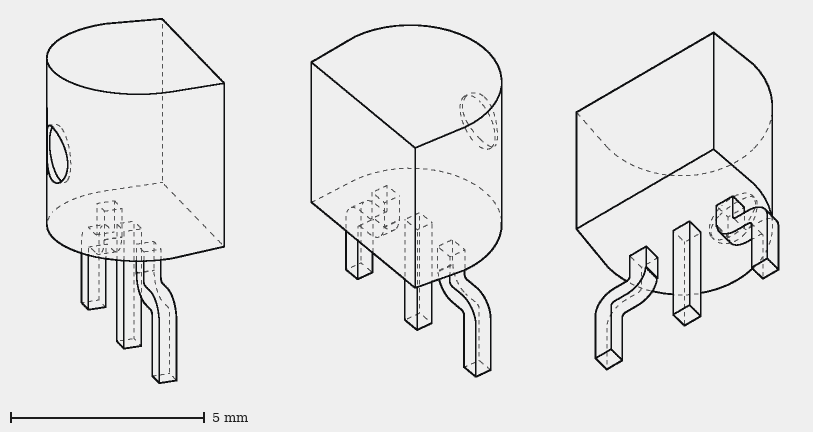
import cadquery as cq
import math

BODY_RADIUS = 2.36
BODY_HEIGHT = 4.7
BACK_DEPTH = 1.52
BACK_WIDTH = 4.46
BACK_DRAFT_HEIGHT = 0.05

DIMPLE_DIAMETER = 1.5
DIMPLE_DEPTH = 0.2

TOTAL_HEIGHT = 8.0
LEAD_BACK_Y = -0.02
LEAD_DEPTH = 0.48
STRAIGHT_WIDTH = 0.54
FORMED_WIDTH = 0.51
OUTER_SPAN = 5.59
BEND_INNER_RADIUS = 0.11
UPPER_BEND_Z = -0.81
OFFSET_RUN = 0.38
OUTER_LEAD_LENGTH = 3.25

centre_lead_length = TOTAL_HEIGHT - BODY_HEIGHT
bend_outer_radius = BEND_INNER_RADIUS + FORMED_WIDTH
lower_bend_x = OUTER_SPAN / 2 - bend_outer_radius
upper_bend_x = lower_bend_x - OFFSET_RUN
level_top_z = UPPER_BEND_Z - BEND_INNER_RADIUS
level_bottom_z = UPPER_BEND_Z - bend_outer_radius
lower_bend_z = level_top_z - bend_outer_radius


def make_body():
    """Half-round front plus tapered back, with the round mark cut in the front."""
    front = (
        cq.Workplane("XY")
        .moveTo(-BODY_RADIUS, 0)
        .threePointArc((0, -BODY_RADIUS), (BODY_RADIUS, 0))
        .close()
        .extrude(BODY_HEIGHT)
    )
    back = (
        cq.Workplane("XZ")
        .center(0, BODY_HEIGHT / 2)
        .rect(2 * BODY_RADIUS, BODY_HEIGHT)
        .workplane(offset=-BACK_DEPTH)
        .rect(BACK_WIDTH, BODY_HEIGHT - 2 * BACK_DRAFT_HEIGHT)
        .loft(ruled=True)
    )
    dimple = (
        cq.Workplane("XZ", origin=(0, -BODY_RADIUS + DIMPLE_DEPTH, BODY_HEIGHT / 2))
        .circle(DIMPLE_DIAMETER / 2)
        .extrude(DIMPLE_DEPTH)
    )
    return front.union(back).cut(dimple)


def lead_plane():
    """Workplane on the back face of the leads, facing -Y."""
    return cq.Workplane("XZ", origin=(0, LEAD_BACK_Y, 0))


def make_centre_lead():
    return (
        lead_plane()
        .center(0, -centre_lead_length / 2)
        .rect(STRAIGHT_WIDTH, centre_lead_length)
        .extrude(LEAD_DEPTH)
    )


def arc_middle(centre_x, centre_z, radius, side):
    """Midpoint of a bend arc; side is +1 for up and outward, -1 for down and inward."""
    reach = side * radius * math.sqrt(0.5)
    return (centre_x + reach, centre_z + reach)


def make_outer_lead():
    """Lead on the +X side, stepped outward through two quarter bends."""
    upper_outer_x = upper_bend_x - BEND_INNER_RADIUS
    upper_inner_x = upper_outer_x - STRAIGHT_WIDTH
    bend_inner_x = upper_bend_x - bend_outer_radius
    foot_outer_x = OUTER_SPAN / 2
    foot_inner_x = foot_outer_x - FORMED_WIDTH
    return (
        lead_plane()
        .moveTo(upper_inner_x, 0)
        .lineTo(upper_outer_x, 0)
        .lineTo(upper_outer_x, UPPER_BEND_Z)
        .threePointArc(
            arc_middle(upper_bend_x, UPPER_BEND_Z, BEND_INNER_RADIUS, -1),
            (upper_bend_x, level_top_z),
        )
        .lineTo(lower_bend_x, level_top_z)
        .threePointArc(
            arc_middle(lower_bend_x, lower_bend_z, bend_outer_radius, 1),
            (foot_outer_x, lower_bend_z),
        )
        .lineTo(foot_outer_x, -OUTER_LEAD_LENGTH)
        .lineTo(foot_inner_x, -OUTER_LEAD_LENGTH)
        .lineTo(foot_inner_x, lower_bend_z)
        .threePointArc(
            arc_middle(lower_bend_x, lower_bend_z, BEND_INNER_RADIUS, 1),
            (lower_bend_x, level_bottom_z),
        )
        .lineTo(upper_bend_x, level_bottom_z)
        .threePointArc(
            arc_middle(upper_bend_x, UPPER_BEND_Z, bend_outer_radius, -1),
            (bend_inner_x, UPPER_BEND_Z),
        )
        .lineTo(upper_inner_x, UPPER_BEND_Z)
        .close()
        .extrude(LEAD_DEPTH)
    )


body = make_body()
centre_lead = make_centre_lead()

outer_leads = []
for mirrored in (False, True):
    lead = make_outer_lead()
    if mirrored:
        lead = lead.mirror("YZ")
    outer_leads.append(lead.val())

result = cq.Compound.makeCompound([body.val(), centre_lead.val(), *outer_leads])